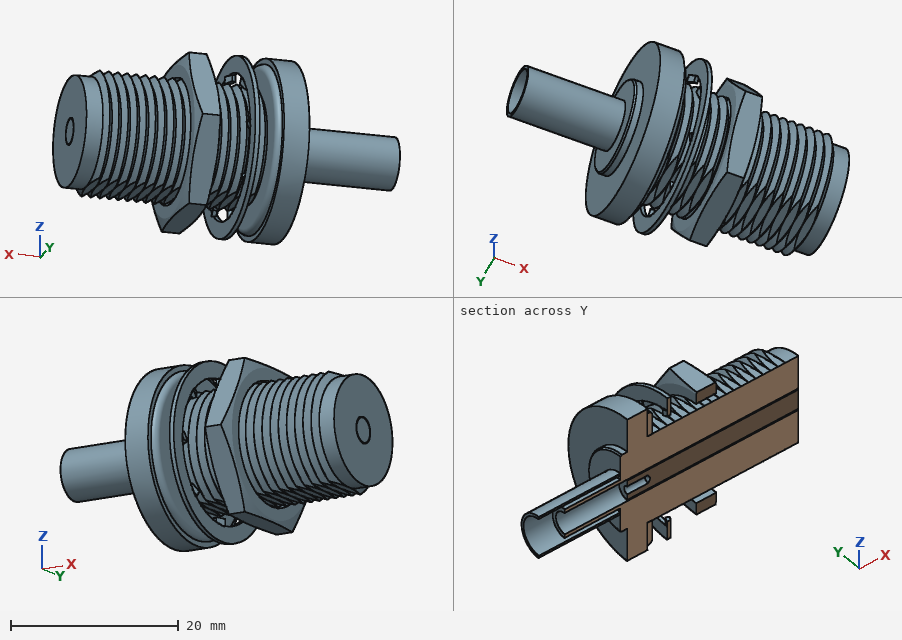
import cadquery as cq
import math


sleeve_back = 4.0
collar_back = 12.62
flange_back = 13.7
flange_front = 16.9
thread_back = 17.65
thread_front = 38.15
connector_front = 40.2
washer_back = 19.9
nut_back = 24.35

sleeve_radius = 2.25
cable_bore_diameter = 3.25
collar_radius = 6.0
collar_bevel_length = 0.25
collar_bevel_depth = 0.15
flange_diameter = 22.0
flange_radius = flange_diameter / 2
barrel_radius = 6.75

thread_crest_radius = 7.68
thread_root_radius = barrel_radius
thread_count = 18
thread_pitch = (thread_front - thread_back) / thread_count
thread_flat_height = 2 * barrel_radius

ferrule_outer_radius = 3.2
ferrule_inner_radius = 2.8

pin_back = flange_back
pin_radius = 1.53
solder_hole_diameter = 1.15
solder_hole_radius = solder_hole_diameter / 2
solder_hole_depth = 3.2
drill_point_angle = 118.0

gasket_radius = 10.3

washer_thickness = 0.55
washer_hole_radius = 8.92
tooth_count = 8
tooth_tip_radius = 8.12
tooth_width = 1.35
tooth_twist = 22.0
tooth_root_overlap = 0.1

nut_thickness = 3.15
nut_across_flats = 19.0
nut_bevel_angle = 15.0
nut_face_radius = 9.2


def turned(profile):
    """Revolve a closed (x, radius) outline about the X axis."""
    return cq.Workplane("XZ").polyline(profile).close().revolve(360, (0, 0, 0), (1, 0, 0))


def tube(x_start, x_end, outer_radius, inner_radius):
    """A plain ring or tube along the X axis."""
    return turned(
        [
            (x_start, inner_radius),
            (x_start, outer_radius),
            (x_end, outer_radius),
            (x_end, inner_radius),
        ]
    )


def make_thread():
    """The threaded stretch of the housing, still without its bore."""
    profile = [(thread_back, 0), (thread_back, thread_root_radius)]
    for ring in range(thread_count):
        ring_start = thread_back + ring * thread_pitch
        profile.append((ring_start + thread_pitch / 2, thread_crest_radius))
        profile.append((ring_start + thread_pitch, thread_root_radius))
    profile.append((thread_front, 0))
    rings = turned(profile)

    thread_length = thread_front - thread_back
    between_flats = cq.Workplane("XY").box(
        thread_length, 2 * thread_crest_radius, thread_flat_height
    )
    return rings.intersect(between_flats.translate((thread_back + thread_length / 2, 0, 0)))


def make_housing():
    """Braid sleeve, collar, flange, gasket neck, thread and front barrel with one through bore."""
    back = turned(
        [
            (sleeve_back, 0),
            (sleeve_back, sleeve_radius),
            (collar_back, sleeve_radius),
            (collar_back, collar_radius - collar_bevel_depth),
            (collar_back + collar_bevel_length, collar_radius),
            (flange_back, collar_radius),
            (flange_back, flange_radius),
            (flange_front, flange_radius),
            (flange_front, barrel_radius),
            (thread_back, barrel_radius),
            (thread_back, 0),
        ]
    )
    barrel = turned(
        [
            (thread_front, 0),
            (thread_front, barrel_radius),
            (connector_front, barrel_radius),
            (connector_front, 0),
        ]
    )
    bore = cq.Workplane("YZ").circle(cable_bore_diameter / 2).extrude(connector_front)
    return back.union(make_thread()).union(barrel).cut(bore)


def make_ferrule():
    """Crimp tube around the braid sleeve, butting against the collar."""
    return tube(0, collar_back, ferrule_outer_radius, ferrule_inner_radius)


def make_pin():
    """Centre pin, clear of the bore wall, with a drilled hole in its back end."""
    drill_point_length = solder_hole_radius / math.tan(math.radians(drill_point_angle / 2))
    hole_end = pin_back + solder_hole_depth
    return turned(
        [
            (pin_back, solder_hole_radius),
            (pin_back, pin_radius),
            (connector_front, pin_radius),
            (connector_front, 0),
            (hole_end + drill_point_length, 0),
            (hole_end, solder_hole_radius),
        ]
    )


def make_gasket():
    """Sealing ring on the neck in front of the flange, its outside a quarter round."""
    round_radius = thread_back - flange_front
    round_middle = (
        flange_front + round_radius * math.sin(math.pi / 4),
        gasket_radius - round_radius * (1 - math.cos(math.pi / 4)),
    )
    return (
        cq.Workplane("XZ")
        .moveTo(flange_front, barrel_radius)
        .lineTo(flange_front, gasket_radius)
        .threePointArc(round_middle, (thread_back, gasket_radius - round_radius))
        .lineTo(thread_back, barrel_radius)
        .close()
        .revolve(360, (0, 0, 0), (1, 0, 0))
    )


def make_washer():
    """Flat ring with teeth that point inward, each twisted about its own radius."""
    washer_front = washer_back + washer_thickness
    washer = tube(washer_back, washer_front, flange_radius, washer_hole_radius)
    tooth_length = washer_hole_radius + tooth_root_overlap - tooth_tip_radius
    tooth = (
        cq.Workplane("XY")
        .box(washer_thickness, tooth_width, tooth_length)
        .rotate((0, 0, 0), (0, 0, 1), tooth_twist)
        .translate((washer_back + washer_thickness / 2, 0, tooth_tip_radius + tooth_length / 2))
    )
    for index in range(tooth_count):
        angle = index * 360 / tooth_count
        washer = washer.union(tooth.rotate((0, 0, 0), (1, 0, 0), angle))
    return washer


def make_nut():
    """Hexagonal nut with flats above and below and its corners turned off on both faces."""
    corner_radius = nut_across_flats / 2 / math.cos(math.pi / 6)
    bevel_length = (corner_radius - nut_face_radius) * math.tan(math.radians(nut_bevel_angle))
    nut_front = nut_back + nut_thickness
    hexagon = (
        cq.Workplane("YZ", origin=(nut_back, 0, 0))
        .polygon(6, 2 * corner_radius)
        .extrude(nut_thickness)
    )
    bevelled_blank = turned(
        [
            (nut_back, thread_crest_radius),
            (nut_back, nut_face_radius),
            (nut_back + bevel_length, corner_radius),
            (nut_front - bevel_length, corner_radius),
            (nut_front, nut_face_radius),
            (nut_front, thread_crest_radius),
        ]
    )
    return hexagon.intersect(bevelled_blank)


housing = make_housing()
ferrule = make_ferrule()
pin = make_pin()
gasket = make_gasket()
washer = make_washer()
nut = make_nut()

result = cq.Compound.makeCompound(
    [
        housing.val(),
        ferrule.val(),
        pin.val(),
        gasket.val(),
        washer.val(),
        nut.val(),
    ]
)